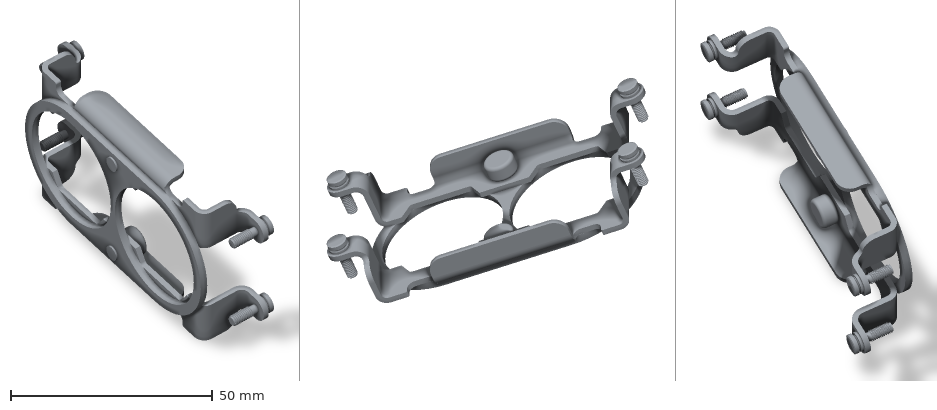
import cadquery as cq
import math


opening_spacing = 34.0
gasket_radius = 19.0
opening_radius = 16.1
gasket_thickness = 2.0
stud_z = 15.55
stud_radius = 2.0
stud_protrusion = 0.5
stud_head_radius = 4.0
stud_head_height = 4.4
stud_head_rounding = 0.85

sheet = 1.5
bend_inner = 1.5
bend_outer = bend_inner + sheet
bracket_top = 22.1
bracket_bottom = 10.1
leg_outer_x = 33.8
foot_bend_inner = 2.0
foot_bend_outer = foot_bend_inner + sheet
foot_end_x = 42.25
foot_back_y = 14.45
foot_width = 6.85
leg_shoulder_y = foot_back_y - foot_bend_outer
foot_root_radius = 1.5
shoulder_radius = bracket_top - bracket_bottom - foot_width - foot_root_radius

tab_half_width = 18.4
tab_depth = 8.2
tab_corner_radius = 4.0
slot_outer_x = 25.9
slot_floor_z = 18.6
slot_floor_radius = 2.0
plate_corner_radius = 0.5

window_half_width = 10.4
window_height = 4.05
window_flank_angle = 60.0
window_corner_radius = 1.0

screw_x = foot_end_x - foot_width / 2
screw_z = bracket_bottom + foot_width / 2
neck_radius = 1.2
head_radius = 2.6
head_height = 2.45
head_chamfer_height = 0.2
head_chamfer_width = 0.4
washer_height = 0.7
groove_radius = 2.0
groove_height = 0.6
groove_floor_height = 0.25
screw_tip_y = 5.4
thread_top_y = 11.75
thread_radius = 1.4
thread_pitch = 0.5
thread_root_width = 0.4
thread_crest_width = 0.1
thread_end_gap = 0.25
thread_root_embed = 0.1

through = 169.0


def y_cylinder(radius, x, z, y_start, y_end):
    """Cylinder parallel to Y."""
    return (
        cq.Workplane("XZ", origin=(x, y_start, z))
        .circle(radius)
        .extrude(y_start - y_end)
    )


def make_gasket():
    front_y = -gasket_thickness - stud_protrusion
    slab = (
        cq.Workplane("XZ")
        .slot2D(opening_spacing + 2 * gasket_radius, 2 * gasket_radius)
        .extrude(gasket_thickness)
    )
    for side in (-1, 1):
        x = side * opening_spacing / 2
        slab = slab.cut(y_cylinder(opening_radius, x, 0, -gasket_thickness, 0))
        z = side * stud_z
        slab = slab.union(y_cylinder(stud_radius, 0, z, front_y, sheet))
        slab = slab.union(make_stud_head(z))
    return slab


def make_stud_head(z):
    """Rounded head that bears on the back of the bracket plate."""
    head = y_cylinder(stud_head_radius, 0, z, sheet, sheet + stud_head_height)
    return head.edges().fillet(stud_head_rounding)


def make_strip():
    """Plate, legs and feet as one constant section, extruded over the bracket height."""
    half = (
        cq.Workplane("XY", origin=(0, 0, bracket_bottom))
        .polyline([
            (0, 0),
            (leg_outer_x, 0),
            (leg_outer_x, foot_back_y - sheet),
            (foot_end_x, foot_back_y - sheet),
            (foot_end_x, foot_back_y),
            (leg_outer_x - sheet, foot_back_y),
            (leg_outer_x - sheet, sheet),
            (0, sheet),
        ])
        .close()
        .extrude(bracket_top - bracket_bottom)
    )
    bends = (
        (leg_outer_x, 0, bend_outer),
        (leg_outer_x - sheet, sheet, bend_inner),
        (leg_outer_x, foot_back_y - sheet, foot_bend_inner),
        (leg_outer_x - sheet, foot_back_y, foot_bend_outer),
    )
    for x, y, radius in bends:
        corner = cq.selectors.NearestToPointSelector((x, y, (bracket_top + bracket_bottom) / 2))
        half = half.edges("|Z").edges(corner).fillet(radius)
    return half.union(half.mirror("YZ"))


def make_leg_trim():
    """Side shape kept from the strip: full height at the legs, narrowing to the feet in an S-curve."""
    foot_top = bracket_bottom + foot_width
    return (
        cq.Workplane("YZ", origin=(-foot_end_x, 0, 0))
        .moveTo(0, bracket_bottom)
        .lineTo(foot_back_y, bracket_bottom)
        .lineTo(foot_back_y, foot_top)
        .lineTo(leg_shoulder_y + foot_root_radius, foot_top)
        .radiusArc((leg_shoulder_y, foot_top + foot_root_radius), foot_root_radius)
        .radiusArc((leg_shoulder_y - shoulder_radius, bracket_top), -shoulder_radius)
        .lineTo(0, bracket_top)
        .close()
        .extrude(2 * foot_end_x)
    )


def make_foot_rounding():
    """Everything out to the screw axes, plus a round end about each axis."""
    keep = cq.Workplane("XY").box(2 * screw_x, through, through)
    for side in (-1, 1):
        keep = keep.union(y_cylinder(foot_width / 2, side * screw_x, screw_z, -through / 2, through / 2))
    return keep


def make_tab():
    """Bent tab along the outer edge of the plate, with rounded free corners."""
    tab = (
        cq.Workplane("YZ", origin=(-tab_half_width, 0, 0))
        .moveTo(0, slot_floor_z)
        .lineTo(0, bracket_top - bend_outer)
        .radiusArc((bend_outer, bracket_top), bend_outer)
        .lineTo(tab_depth, bracket_top)
        .lineTo(tab_depth, bracket_top - sheet)
        .lineTo(bend_outer, bracket_top - sheet)
        .radiusArc((sheet, bracket_top - bend_outer), -bend_inner)
        .lineTo(sheet, slot_floor_z)
        .close()
        .extrude(2 * tab_half_width)
    )
    return tab.edges("|Z and >Y").fillet(tab_corner_radius)


def make_slot(side):
    """Relief between a leg and the tab, with rounded floor corners."""
    depth = 2 * (bracket_top - slot_floor_z)
    width = slot_outer_x - tab_half_width
    x = side * (slot_outer_x + tab_half_width) / 2
    slot = cq.Workplane("XY").box(width, 2 * bend_outer, depth).translate((x, 0, slot_floor_z + depth / 2))
    return slot.edges("|Y and <Z").fillet(slot_floor_radius)


def make_window(side):
    """Trapezoid opening in the lower edge of the plate behind a gasket opening."""
    x = side * opening_spacing / 2
    narrowing = window_height / math.tan(math.radians(window_flank_angle))
    top_half_width = window_half_width - narrowing
    top_z = bracket_bottom + window_height
    window = (
        cq.Workplane("XZ", origin=(0, sheet, 0))
        .polyline([
            (x - window_half_width, bracket_bottom),
            (x + window_half_width, bracket_bottom),
            (x + top_half_width, top_z),
            (x - top_half_width, top_z),
        ])
        .close()
        .extrude(sheet)
    )
    return window.edges("|Y and >Z").fillet(window_corner_radius)


def make_upper_bracket():
    strip = make_strip().intersect(make_leg_trim()).intersect(make_foot_rounding())
    middle = (
        cq.Workplane("XY")
        .box(2 * tab_half_width, 2 * bend_outer, through)
        .translate((0, 0, bracket_top - bend_outer + through / 2))
    )
    bracket = strip.cut(middle).union(make_tab())
    for side in (-1, 1):
        bracket = bracket.cut(make_slot(side))
        bracket = bracket.cut(make_window(side))
        bracket = bracket.cut(y_cylinder(neck_radius, side * screw_x, screw_z, leg_shoulder_y, foot_back_y))
        corner = cq.selectors.NearestToPointSelector((side * slot_outer_x, sheet / 2, bracket_top))
        bracket = bracket.edges("|Y").edges(corner).fillet(plate_corner_radius)
    return bracket.cut(y_cylinder(stud_radius, 0, stud_z, 0, sheet))


def make_thread():
    """Helical ridge around a core standing on Z = 0."""
    length = thread_top_y - screw_tip_y - 2 * thread_end_gap
    root_radius = neck_radius - thread_root_embed
    helix = cq.Wire.makeHelix(thread_pitch, length, root_radius)
    half_root = thread_root_width / 2
    half_crest = thread_crest_width / 2
    ridge = (
        cq.Workplane("XZ")
        .polyline([
            (root_radius, -half_root),
            (thread_radius, -half_crest),
            (thread_radius, half_crest),
            (root_radius, half_root),
        ])
        .close()
        .sweep(cq.Workplane(helix), isFrenet=True)
    )
    return ridge.translate((0, 0, thread_end_gap))


def make_screw():
    """Captive screw with its tip at the origin and its head toward +Z."""
    seat = foot_back_y - screw_tip_y
    top = seat + head_height
    groove_bottom = seat + washer_height
    body = (
        cq.Workplane("XZ")
        .polyline([
            (0, 0),
            (neck_radius, 0),
            (neck_radius, seat),
            (head_radius, seat),
            (head_radius, groove_bottom),
            (groove_radius, groove_bottom),
            (groove_radius, groove_bottom + groove_floor_height),
            (head_radius, groove_bottom + groove_height),
            (head_radius, top - head_chamfer_height),
            (head_radius - head_chamfer_width, top),
            (0, top),
        ])
        .close()
        .revolve(360, (0, 0), (0, 1))
    )
    return body.union(make_thread())


gasket = make_gasket()
upper_bracket = make_upper_bracket()
lower_bracket = upper_bracket.mirror("XY")

screw = make_screw().rotate((0, 0, 0), (1, 0, 0), -90)
screws = []
for x_side in (-1, 1):
    for z_side in (-1, 1):
        placed = screw.translate((x_side * screw_x, screw_tip_y, z_side * screw_z))
        screws.append(placed.val())

result = cq.Compound.makeCompound([gasket.val(), upper_bracket.val(), lower_bracket.val(), *screws])